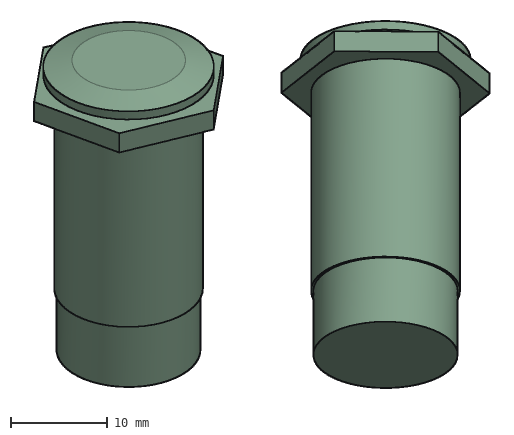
import cadquery as cq
import math

total_height = 35.3
head_rim_height = 1.0
cone_height = 0.8
tail_length = 7.5
nut_gap = 0.5
nut_thickness = 2.35

barrel_diameter = 15.5
tail_diameter = 15.0
head_diameter = 17.75
head_top_diameter = 11.8
nut_across_flats = 18.75

barrel_length = total_height - head_rim_height - cone_height - tail_length
nut_across_corners = nut_across_flats / math.cos(math.radians(30))


def make_housing():
    """Turned body: tail, barrel and overhanging head with a conical top."""
    tail_z = -barrel_length - tail_length
    shoulder_z = -barrel_length
    top_z = head_rim_height + cone_height
    profile = [
        (0, tail_z),
        (tail_diameter / 2, tail_z),
        (tail_diameter / 2, shoulder_z),
        (barrel_diameter / 2, shoulder_z),
        (barrel_diameter / 2, 0),
        (head_diameter / 2, 0),
        (head_diameter / 2, head_rim_height),
        (head_top_diameter / 2, top_z),
        (0, top_z),
    ]
    return cq.Workplane("XZ").polyline(profile).close().revolve(360, (0, 0, 0), (0, 1, 0))


def make_nut():
    """Hexagonal nut around the barrel, with two corners on the X axis."""
    return (
        cq.Workplane("XY")
        .workplane(offset=-nut_gap - nut_thickness)
        .polygon(6, nut_across_corners)
        .circle(barrel_diameter / 2)
        .extrude(nut_thickness)
    )


housing = make_housing()
nut = make_nut()

result = cq.Compound.makeCompound([housing.val(), nut.val()])